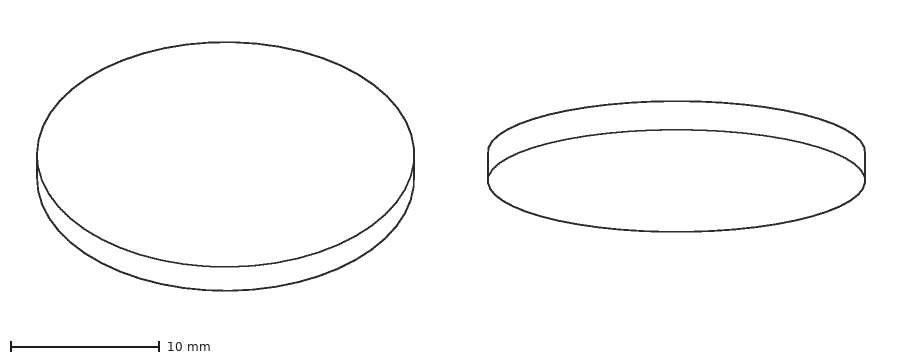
import cadquery as cq

diameter = 25.4
total_height = 2.8
rim_height = 2.0

radius = diameter / 2
dome_height = total_height - rim_height
dome_radius = (radius**2 + dome_height**2) / (2 * dome_height)

disc = cq.Workplane("XY").circle(radius).extrude(total_height)
dome_sphere = cq.Workplane("XY").sphere(dome_radius).translate((0, 0, total_height - dome_radius))

result = disc.intersect(dome_sphere)